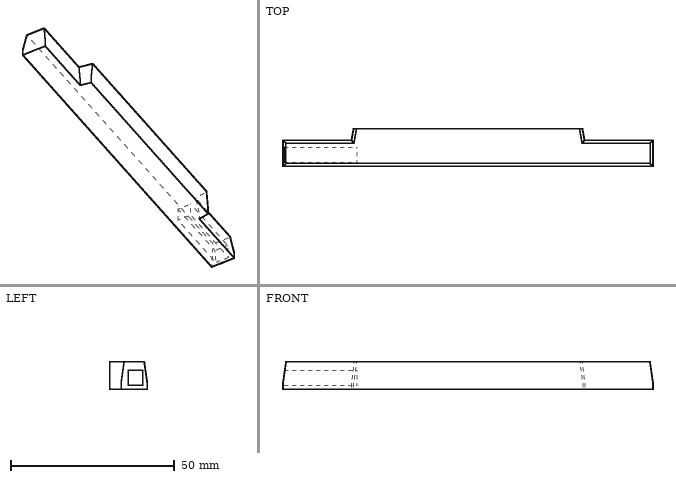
import cadquery as cq
import math

length = 113.2
depth = 11.5
height = 8.5

bar_depth = 8.0
block_root_length = 71.3
block_end_lean = 10.0

draft_line_height = 2.0
draft_angle = 8.1

socket_size = 4.5
socket_front_wall = 1.4
socket_floor_height = 1.4
socket_depth = 22.6

block_front = bar_depth / 2
rear_trim = 2.3
block_rear = depth + rear_trim


def half_block_length(y):
    """Half the length of the block at the base, at depth y."""
    return block_root_length / 2 - (y - bar_depth) * math.tan(math.radians(block_end_lean))


def drafted_prism(outline):
    """Prism on a base outline: upright below the draft line and leaning inwards above it."""
    lower = cq.Workplane("XY").polyline(outline).close().extrude(draft_line_height)
    upper = (
        cq.Workplane("XY", origin=(0, 0, draft_line_height))
        .polyline(outline)
        .close()
        .extrude(height - draft_line_height, taper=draft_angle)
    )
    return lower.union(upper)


def make_bar():
    """Full-length bar, drafted on all four sides."""
    half_length = length / 2
    return drafted_prism([
        (-half_length, 0),
        (half_length, 0),
        (half_length, bar_depth),
        (-half_length, bar_depth),
    ])


def make_block():
    """Middle block with leaning ends, trimmed upright at the rear."""
    half_front = half_block_length(block_front)
    half_rear = half_block_length(block_rear)
    block = drafted_prism([
        (-half_front, block_front),
        (half_front, block_front),
        (half_rear, block_rear),
        (-half_rear, block_rear),
    ])
    envelope = cq.Workplane("XY").box(length, depth, height, centered=(True, False, False))
    return block.intersect(envelope)


def make_socket():
    """Square prism removed from the -X end."""
    return (
        cq.Workplane("XY")
        .box(socket_depth, socket_size, socket_size, centered=False)
        .translate((-length / 2, socket_front_wall, socket_floor_height))
    )


result = make_bar().union(make_block()).cut(make_socket())